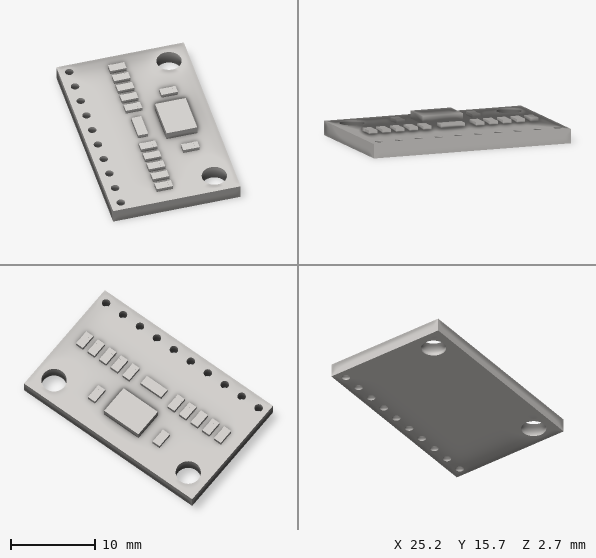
import cadquery as cq

board_length = 25.2
board_width = 15.7
total_height = 2.7
board_thickness = 1.75

mount_hole_diameter = 3.0
mount_hole_x = 10.05
mount_hole_y = 5.32

pin_hole_diameter = 1
pin_count = 10
pin_row_span = 22.85
pin_pitch = pin_row_span / (pin_count - 1)
pin_row_y = -6.58

main_ic_length = 5.15
main_ic_width = 3.78
main_ic_height = total_height - board_thickness
main_ic_y = 3.4
small_ic_length = 3.07
small_ic_width = 1.23
small_ic_y = -1.08

chip_length = 2.02
chip_width = 1.05
chip_height = 0.45
terminal_length = chip_length / 4
body_recess = 0.013

row_chips_per_side = 5
row_chip_pitch = 1.75
row_inner_x = 3.38
row_y = -0.98
upper_chip_x = 4.85
upper_chip_y = 3.8


def block(length, width, height, x, y, z=board_thickness):
    """Box centred on (x, y) that rises from height z."""
    return cq.Workplane("XY").box(length, width, height, centered=(True, True, False)).translate((x, y, z))


def chip(x, y):
    """Chip component lying along Y, with a terminal at each end."""
    body_width = chip_width - 2 * body_recess
    component = block(body_width, chip_length, chip_height - body_recess, x, y)
    terminal_offset = (chip_length - terminal_length) / 2
    for side in (-1, 1):
        component = component.union(
            block(chip_width, terminal_length, chip_height, x, y + side * terminal_offset)
        )
    return component


def drilled_board():
    """Board plate with its mounting holes and pin holes."""
    plate = block(board_length, board_width, board_thickness, 0, 0, z=0)
    mount_points = [(side * mount_hole_x, mount_hole_y) for side in (-1, 1)]
    first_pin_x = -pin_row_span / 2
    pin_points = [(first_pin_x + i * pin_pitch, pin_row_y) for i in range(pin_count)]
    for points, diameter in ((mount_points, mount_hole_diameter), (pin_points, pin_hole_diameter)):
        plate = plate.faces(">Z").workplane(origin=(0, 0, 0)).pushPoints(points).hole(diameter)
    return plate


result = drilled_board()

result = result.union(block(main_ic_length, main_ic_width, main_ic_height, 0, main_ic_y))
result = result.union(block(small_ic_length, small_ic_width, chip_height, 0, small_ic_y))

for side in (-1, 1):
    result = result.union(chip(side * upper_chip_x, upper_chip_y))
    for i in range(row_chips_per_side):
        result = result.union(chip(side * (row_inner_x + i * row_chip_pitch), row_y))